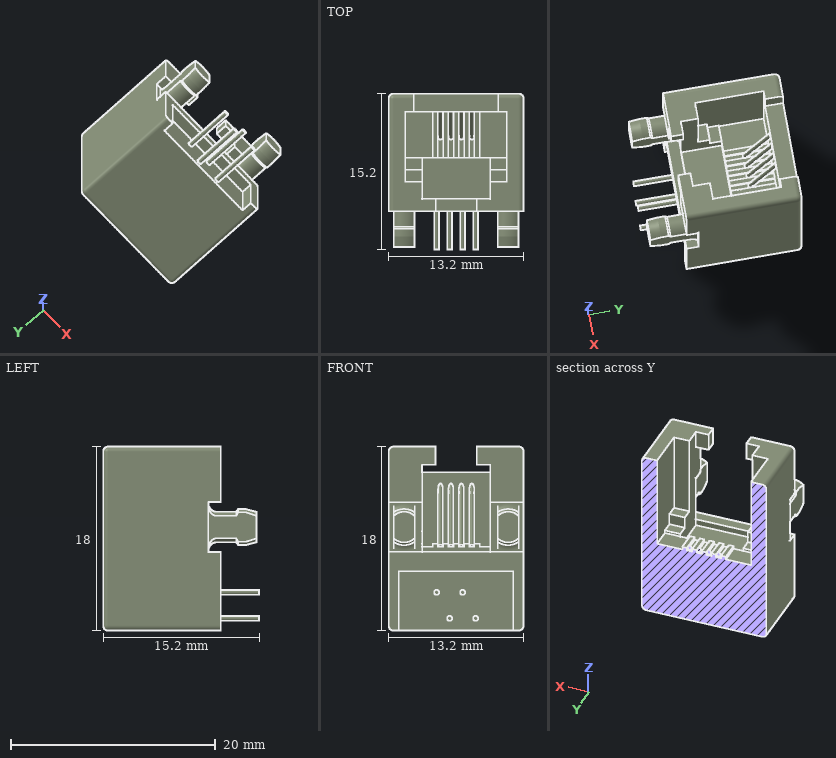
import cadquery as cq
import math


width = 13.2
depth = 11.5
height = 18.0
edge_radius = 0.5

cavity_width = 9.9
cavity_back_y = 9.7
cavity_front_y = 2.9
cavity_floor_z = 8.2
inner_shoulder_y = 5.25
outer_shoulder_y = (inner_shoulder_y + cavity_front_y) / 2
inner_shoulder_z = 8.5
outer_shoulder_z = 9.7

latch_width = 6.65
latch_floor_z = 7.0
front_wall = 1.2
window_top_z = 16.2
latch_slot_width = 4.0

band_bottom_z = 7.7
band_top_z = 12.55
back_notch_width = 8.25
back_notch_z = 15.5
pin_recess_width = 11.2
pin_recess_height = 5.8
pin_recess_depth = 1.1

comb_width = 4.6
comb_top_z = inner_shoulder_z
contact_count = 4
contact_pitch = 1.02
contact_diameter = 0.48
contact_slot_width = 0.53
contact_low_y = 7.22
contact_low_z = 8.3
contact_high_y = cavity_back_y
contact_high_z = 13.8
contact_embed = 0.6

pin_diameter = 0.5
pin_tip_y = -3.75
pin_pitch = 1.27
pin_low_z = 1.2
pin_high_z = pin_low_z + 2 * pin_pitch
pin_embed = 0.5

peg_offset_x = 5.08
peg_thickness = 2.06
peg_z = (band_bottom_z + band_top_z) / 2
peg_neck_radius = 1.5
peg_head_radius = 1.77
peg_root_fillet = 0.8
peg_neck_end_y = -1.5
peg_head_start_y = -1.7
peg_head_end_y = -2.45
peg_tip_y = -3.5
peg_embed = 0.3


def block(block_width, y_start, y_end, z_start, z_end):
    """Box centred on x = 0 between the given Y and Z limits."""
    size_y = y_end - y_start
    size_z = z_end - z_start
    box = cq.Workplane("XY").box(block_width, size_y, size_z, centered=(True, False, False))
    return box.translate((0, y_start, z_start))


def make_shell():
    shell = block(width, 0, depth, 0, height)
    shell = shell.edges("|Y").fillet(edge_radius)
    return shell.faces(">Y").edges().fillet(edge_radius)


def cut_plug_cavity(body):
    body = body.cut(block(cavity_width, inner_shoulder_y, cavity_back_y, cavity_floor_z, height))
    body = body.cut(block(cavity_width, outer_shoulder_y, inner_shoulder_y, inner_shoulder_z, height))
    return body.cut(block(cavity_width, cavity_front_y, outer_shoulder_y, outer_shoulder_z, height))


def cut_latch_channel(body):
    body = body.cut(block(latch_width, front_wall, inner_shoulder_y, latch_floor_z, height))
    body = body.cut(block(latch_width, 0, front_wall, band_bottom_z, window_top_z))
    return body.cut(block(latch_slot_width, 0, front_wall, window_top_z, height))


def cut_outer_walls(body):
    body = body.cut(block(width, 0, front_wall, band_bottom_z, band_top_z))
    body = body.cut(block(back_notch_width, cavity_back_y, depth, back_notch_z, height))
    return body.cut(block(pin_recess_width, 0, pin_recess_depth, 0, pin_recess_height))


def contact_positions():
    first = -(contact_count - 1) / 2 * contact_pitch
    return [first + i * contact_pitch for i in range(contact_count)]


def make_comb():
    comb = block(comb_width, inner_shoulder_y, cavity_back_y, cavity_floor_z, comb_top_z)
    slot = block(contact_slot_width, inner_shoulder_y, cavity_back_y, cavity_floor_z, comb_top_z)
    for x in contact_positions():
        comb = comb.cut(slot.translate((x, 0, 0)))
    return comb


def make_contact(x):
    """Round wire rising from the comb slot into the back wall."""
    run = contact_high_y - contact_low_y
    rise = contact_high_z - contact_low_z
    length = math.hypot(run, rise) + contact_embed
    start = cq.Vector(x, contact_low_y, contact_low_z)
    return cq.Workplane(cq.Solid.makeCylinder(contact_diameter / 2, length, start, cq.Vector(0, run, rise)))


def make_pin(x, z):
    pin_end_y = pin_recess_depth + pin_embed
    start = cq.Vector(x, pin_tip_y, z)
    return cq.Workplane(
        cq.Solid.makeCylinder(pin_diameter / 2, pin_end_y - pin_tip_y, start, cq.Vector(0, 1, 0))
    )


def pin_positions():
    """The lower row is shifted by one pitch against the upper row."""
    outer = 1.5 * pin_pitch
    inner = 0.5 * pin_pitch
    return [(-outer, pin_high_z), (inner, pin_high_z), (-inner, pin_low_z), (outer, pin_low_z)]


def make_peg(x):
    root_radius = peg_neck_radius + peg_root_fillet
    fillet_end_y = front_wall - peg_root_fillet
    fillet_mid = peg_root_fillet * (1 - math.sqrt(0.5))
    turned = (
        cq.Workplane("XY")
        .moveTo(0, front_wall + peg_embed)
        .lineTo(root_radius, front_wall + peg_embed)
        .lineTo(root_radius, front_wall)
        .threePointArc(
            (peg_neck_radius + fillet_mid, front_wall - fillet_mid),
            (peg_neck_radius, fillet_end_y),
        )
        .lineTo(peg_neck_radius, peg_neck_end_y)
        .lineTo(peg_head_radius, peg_head_start_y)
        .lineTo(peg_head_radius, peg_head_end_y)
        .lineTo(peg_neck_radius, peg_tip_y)
        .lineTo(0, peg_tip_y)
        .close()
        .revolve(360, (0, 0, 0), (0, 1, 0))
    )
    flats = block(peg_thickness, peg_tip_y, front_wall + peg_embed, -root_radius, root_radius)
    return turned.intersect(flats).translate((x, 0, peg_z))


housing = cut_outer_walls(cut_latch_channel(cut_plug_cavity(make_shell())))
housing = housing.union(make_comb())
for contact_x in contact_positions():
    housing = housing.union(make_contact(contact_x))
for pin_x, pin_z in pin_positions():
    housing = housing.union(make_pin(pin_x, pin_z))
for peg_x in (-peg_offset_x, peg_offset_x):
    housing = housing.union(make_peg(peg_x))

result = housing